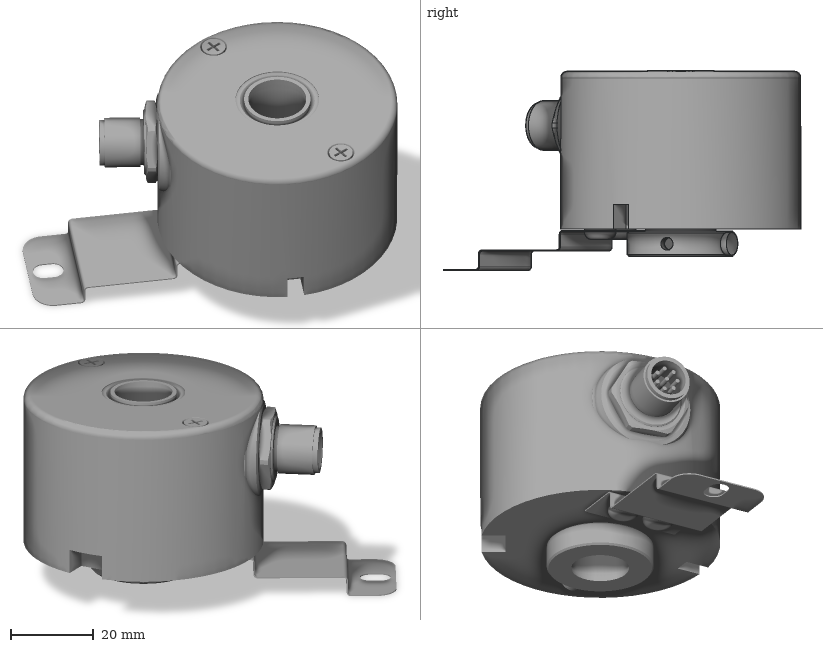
import cadquery as cq
import math


housing_radius = 29.0
housing_height = 38.1
housing_edge_radius = 1.6

shaft_radius = 8.0
shaft_rise = 0.2
bore_radius = 7.0
shaft_recess_radius = 10.1
shaft_recess_depth = 0.3
shaft_groove_radius = 9.05
shaft_groove_depth = 1.0

neck_radius = 8.5
neck_length = 0.5
ring_radius = 12.9
ring_height = 6.0
ring_chamfer = 0.4
ring_top = -neck_length
ring_bottom = ring_top - ring_height
ring_middle = ring_top - ring_height / 2
clamp_head_radius = 2.8
clamp_head_reach = 14.3
clamp_head_length = 3.45
clamp_head_angle = 60
ring_hole_diameter = 3.0
ring_hole_depth = 3.45
hole_overcut = 0.9
ring_hole_angle = -15

rim_slots = ((-30, 4.1), (120, 8.9))
rim_slot_height = 5.95
rim_slot_floor_radius = 22.85

cover_screw_offset = 24.5
cover_hole_radius = 3.3
cover_head_radius = 2.85
cover_gap_depth = 0.9
cross_length = 4.0
cross_width = 0.7
cross_depth = 0.9

connector_angle = 232.5
connector_height = 25.0
boss_start = 23.3
boss_root_radius = 12.9
boss_root_end = 26.1
boss_taper_start = 26.5
boss_taper_radius = 12.4
boss_end = 28.7
boss_end_radius = 11.65
boss_face = 29.1
boss_face_radius = 10.4
nut_face = 31.8
nut_flats = 18.0
nut_corner_radius = 10.1
nut_chamfer = 0.4
nut_turn = 30
collar_radius = 8.0
collar_face = 32.3
collar_chamfer = 0.35
plug_neck_radius = 5.5
plug_start = 33.1
plug_radius = 12.0 / 2
plug_end = 41.75
plug_tip = 42.95
socket_radius = 4.5
socket_depth = 7.8
pin_radius = 0.5
pin_circle_radius = 2.8
pin_count = 7
pin_recess = 0.8
pin_embed = 0.9
first_pin_angle = 90

bracket_angle = 240
sheet = 0.3
bracket_top = -sheet
bend_faces = (26.65, 49.2)
bracket_drop = 9.4
bracket_step = bracket_drop / len(bend_faces)
bracket_width = 25.0
bracket_start = 14.2
bend_radius = 1.0
bracket_end = 61.0
bracket_corner_radius = 5.0
mount_slot_center = 56.0
mount_slot_width = 5.0
mount_slot_length = 7.4
mount_slot_cut = bracket_drop + 1.7
bracket_screw_distance = 19.7
bracket_screw_offset = 4.8
bracket_screw_radius = 3.8
bracket_screw_bottom = -2.5
bracket_screw_edge_radius = 1.7


def disc(radius, bottom, top):
    """Upright cylinder on the Z axis between two heights."""
    return cq.Workplane("XY").workplane(offset=bottom).circle(radius).extrude(top - bottom)


def turned(points):
    """Solid of revolution about Z from (radius, height) points."""
    return cq.Workplane("XZ").polyline(points).close().revolve(360, (0, 0), (0, 1))


def about_axis(shape, angle):
    """Turn a shape around the housing axis, in degrees from where it was built."""
    return shape.rotate((0, 0, 0), (0, 0, 1), angle)


def radial_rod(radius, start, end, height):
    """Horizontal cylinder along +X between two distances from the axis."""
    rod = cq.Workplane("YZ").workplane(offset=start).circle(radius).extrude(end - start)
    return rod.translate((0, 0, height))


def make_housing():
    housing = disc(housing_radius, 0, housing_height).faces(">Z").edges().fillet(housing_edge_radius)
    for angle, width in rim_slots:
        slot = cq.Workplane("XY").box(housing_radius, width, rim_slot_height, (False, True, False))
        housing = housing.cut(about_axis(slot.translate((rim_slot_floor_radius, 0, 0)), angle))
    recess_floor = housing_height - shaft_recess_depth
    recess = disc(shaft_recess_radius, recess_floor, housing_height)
    groove = turned([
        (0, recess_floor),
        (shaft_groove_radius, recess_floor),
        (shaft_radius, recess_floor - shaft_groove_depth),
        (0, recess_floor - shaft_groove_depth),
    ])
    return housing.cut(recess).cut(groove)


def cut_cover_screws(housing):
    gap_floor = housing_height - cover_gap_depth
    gap = turned([
        (cover_head_radius, housing_height),
        (cover_hole_radius, housing_height),
        (cover_head_radius, gap_floor),
    ])
    cross_center = (0, 0, housing_height - cross_depth / 2)
    cross = cq.Workplane("XY").box(cross_length, cross_width, cross_depth)
    cross = cross.union(cq.Workplane("XY").box(cross_width, cross_length, cross_depth))
    screw_cut = gap.union(cross.translate(cross_center))
    for side in (-1, 1):
        housing = housing.cut(screw_cut.translate((side * cover_screw_offset, 0, 0)))
    return housing


def make_shaft_and_ring():
    ring = disc(ring_radius, ring_bottom, ring_top).edges().chamfer(ring_chamfer)
    hole_start = ring_radius - ring_hole_depth
    hole = radial_rod(ring_hole_diameter / 2, hole_start, ring_radius + hole_overcut, ring_middle)
    ring = ring.cut(about_axis(hole, ring_hole_angle))
    head_start = clamp_head_reach - clamp_head_length
    head = radial_rod(clamp_head_radius, head_start, clamp_head_reach, ring_middle)
    ring = ring.union(about_axis(head, clamp_head_angle))
    shaft = disc(shaft_radius, ring_bottom, housing_height + shaft_rise)
    neck = disc(neck_radius, ring_top, 0)
    return shaft.union(neck).union(ring)


def make_nut():
    """Hexagon nut with its corners turned down, built along +Z."""
    thickness = nut_face - boss_face
    hexagon = cq.Workplane("XY").polygon(6, nut_flats / math.cos(math.pi / 6)).extrude(thickness)
    blank = cq.Workplane("XY").circle(nut_corner_radius).extrude(thickness)
    blank = blank.edges().chamfer(nut_chamfer, nut_corner_radius - nut_flats / 2)
    return about_axis(hexagon, nut_turn).intersect(blank).translate((0, 0, boss_face))


def make_connector():
    """Connector built along +Z, then laid over to its direction on the housing."""
    connector = turned([
        (0, boss_start),
        (boss_root_radius, boss_start),
        (boss_root_radius, boss_root_end),
        (boss_taper_radius, boss_taper_start),
        (boss_end_radius, boss_end),
        (boss_face_radius, boss_face),
        (collar_radius, boss_face),
        (collar_radius, collar_face - collar_chamfer),
        (collar_radius - collar_chamfer, collar_face),
        (plug_neck_radius, collar_face),
        (plug_neck_radius, plug_start),
        (plug_radius, plug_start),
        (plug_radius, plug_end),
        (plug_neck_radius, plug_end),
        (plug_neck_radius, plug_tip),
        (0, plug_tip),
    ])
    socket_floor = plug_tip - socket_depth
    connector = connector.union(make_nut()).cut(disc(socket_radius, socket_floor, plug_tip))
    pin = disc(pin_radius, socket_floor - pin_embed, plug_tip - pin_recess)
    connector = connector.union(pin)
    for index in range(pin_count):
        angle = first_pin_angle + index * 360 / pin_count
        connector = connector.union(about_axis(pin.translate((pin_circle_radius, 0, 0)), angle))
    connector = connector.rotate((0, 0, 0), (0, 1, 0), 90)
    connector = connector.translate((0, 0, connector_height))
    return about_axis(connector, connector_angle)


def make_bracket():
    inner_radius = bend_radius - sheet
    profile = cq.Workplane("XZ").moveTo(bracket_start, bracket_top)
    level = bracket_top
    for face in bend_faces:
        lower = level - bracket_step
        profile = profile.lineTo(face - bend_radius, level)
        profile = profile.radiusArc((face, level - bend_radius), bend_radius)
        profile = profile.lineTo(face, lower + inner_radius)
        profile = profile.radiusArc((face + inner_radius, lower), -inner_radius)
        level = lower
    profile = profile.lineTo(bracket_end, level).lineTo(bracket_end, level - sheet)
    for face in reversed(bend_faces):
        back = face - sheet
        low = level - sheet
        high = low + bracket_step
        profile = profile.lineTo(back + bend_radius, low)
        profile = profile.radiusArc((back, low + bend_radius), bend_radius)
        profile = profile.lineTo(back, high - inner_radius)
        profile = profile.radiusArc((back - inner_radius, high), -inner_radius)
        level += bracket_step
    profile = profile.lineTo(bracket_start, bracket_top - sheet).close()
    bracket = profile.extrude(bracket_width / 2, both=True)
    bracket = bracket.faces(">X").edges("|Z").fillet(bracket_corner_radius)
    mount_slot = cq.Workplane("XY").center(mount_slot_center, 0)
    mount_slot = mount_slot.slot2D(mount_slot_length, mount_slot_width).extrude(-mount_slot_cut)
    bracket = bracket.cut(mount_slot)
    screw = disc(bracket_screw_radius, bracket_screw_bottom, 0)
    screw = screw.faces("<Z").edges().fillet(bracket_screw_edge_radius)
    for side in (-1, 1):
        place = (bracket_screw_distance, side * bracket_screw_offset, 0)
        bracket = bracket.union(screw.translate(place))
    return about_axis(bracket, bracket_angle)


bore = disc(bore_radius, ring_bottom, housing_height + shaft_rise)

result = (
    cut_cover_screws(make_housing())
    .union(make_shaft_and_ring())
    .cut(bore)
    .union(make_connector())
    .union(make_bracket())
)